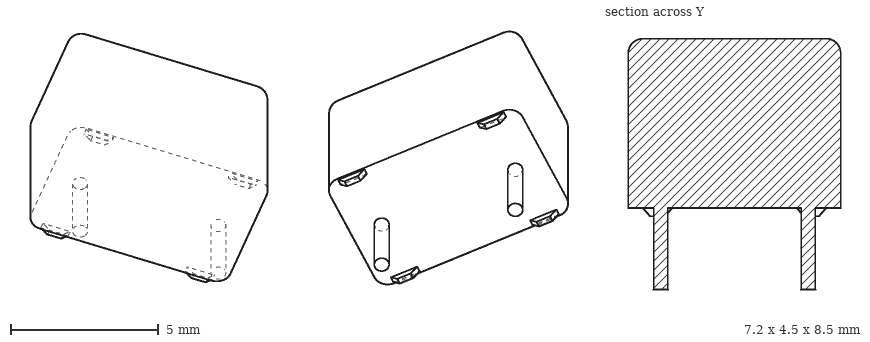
import cadquery as cq

body_length = 7.2
body_width = 4.5
total_height = 8.5
edge_radius = 0.5

pin_diameter = 0.5
pin_length = 2.75
pin_pitch = 5.0

foot_top_length = 0.99
foot_bottom_length = 0.5
foot_height = 0.28
foot_thickness = 0.2
foot_side_inset = 0.05
foot_center_x = body_length / 2 - edge_radius - foot_top_length / 2

body_height = total_height - pin_length


def make_body():
    """Box standing on Z = 0, rounded everywhere except around its base."""
    box = cq.Workplane("XY").box(body_length, body_width, body_height, centered=(True, True, False))
    return box.edges("|Z or >Z").fillet(edge_radius)


def make_pins():
    """Pair of pins hanging from the base on the long centre line."""
    return (
        cq.Workplane("XY")
        .pushPoints([(-pin_pitch / 2, 0), (pin_pitch / 2, 0)])
        .circle(pin_diameter / 2)
        .extrude(-pin_length)
    )


def make_foot(center_x, center_y):
    """Foot that tapers downward along X and has constant thickness along Y."""
    profile = [
        (center_x - foot_top_length / 2, 0),
        (center_x + foot_top_length / 2, 0),
        (center_x + foot_bottom_length / 2, -foot_height),
        (center_x - foot_bottom_length / 2, -foot_height),
    ]
    foot = cq.Workplane("XZ").polyline(profile).close().extrude(foot_thickness / 2, both=True)
    return foot.translate((0, center_y, 0))


result = make_body().union(make_pins())

foot_center_y = body_width / 2 - foot_side_inset - foot_thickness / 2
for side_x in (-1, 1):
    for side_y in (-1, 1):
        result = result.union(make_foot(side_x * foot_center_x, side_y * foot_center_y))